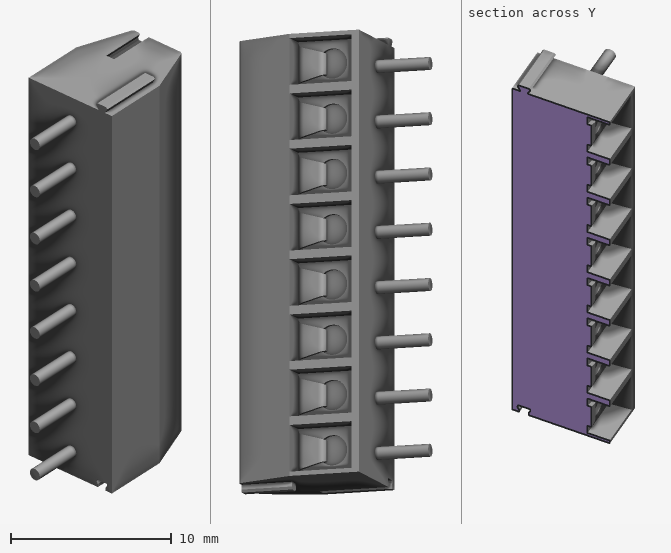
import cadquery as cq

pole_count = 8
housing_width = 6.8
housing_height = 8.4
housing_length = 28.0
pole_pitch = housing_length / pole_count
half_width = housing_width / 2
shoulder_height = 4.58
crown_half_width = 2.0
crown_radius = 0.25

pin_diameter = 0.8
pin_length = 3.5
pin_root = 0.3
pin_offset = 0.1

pocket_length = 2.95
pocket_depth = 1.53
pocket_floor = 0.5
floor_taper = 0.15
ceiling_taper = 0.05
pocket_back = -half_width + pocket_depth
pocket_back_floor = pocket_floor + floor_taper
pocket_back_ceiling = shoulder_height - ceiling_taper

recess_radius = 0.95
recess_height = 2.25
recess_depth = 0.25

leaf_rise = 0.25
leaf_front = pocket_back - leaf_rise
leaf_flat_top = 4.08
leaf_flat_bottom = 3.13
leaf_tip = 2.7
leaf_flare_start = 4.37
leaf_flare_half = 1.42
leaf_shoulder_half = 1.13
leaf_tip_half = 0.67

rail_offset = 2.58
rail_run = shoulder_height
rail_height = 0.45
key_offset = -1.13
key_run = 3.33
key_height = 0.5
groove_depth = 0.55

rail_section = [(0.25, 0), (0.45, 0.35), (0.35, rail_height)]
rail_groove_section = [(0.32, 0), (0.32, 0.23), (0.43, 0.4), (0.4, groove_depth)]
key_section = [(0.32, 0), (0.4, 0.32), (0.32, key_height)]
key_groove_section = [(0.4, 0), (0.32, 0.1), (0.45, 0.38), (0.4, groove_depth)]


def pole_centres():
    return [(i + 0.5) * pole_pitch for i in range(pole_count)]


def housing():
    body = (
        cq.Workplane("XY")
        .polyline([
            (-half_width, 0),
            (half_width, 0),
            (half_width, shoulder_height),
            (crown_half_width, housing_height),
            (-crown_half_width, housing_height),
            (-half_width, shoulder_height),
        ])
        .close()
        .extrude(housing_length)
    )
    return body.edges("|Z").edges(">Y").fillet(crown_radius)


def pin(z):
    """Round pin pointing towards -Y, rooted a short way inside the housing."""
    return (
        cq.Workplane("XZ", origin=(pin_offset, pin_root, z))
        .circle(pin_diameter / 2)
        .extrude(pin_root + pin_length)
    )


def pocket(z):
    """Wire entry narrowing towards its back wall, plus the round recess."""
    entry = (
        cq.Workplane("XY", origin=(0, 0, z))
        .polyline([
            (-half_width, pocket_floor),
            (pocket_back, pocket_back_floor),
            (pocket_back, pocket_back_ceiling),
            (-half_width, shoulder_height),
        ])
        .close()
        .extrude(pocket_length / 2, both=True)
    )
    recess = (
        cq.Workplane("YZ", origin=(pocket_back, recess_height, z))
        .circle(recess_radius)
        .extrude(recess_depth)
    )
    return entry.union(recess)


def tangent_radius(width):
    """Radius of an arc that leaves the leaf's flat front smoothly and meets the wall."""
    return (width**2 + leaf_rise**2) / (2 * leaf_rise)


def leaf(z):
    """Tapered plate, its front rounded back to the wall at both ends."""
    root = pocket_back + recess_depth
    profile = (
        cq.Workplane("XY", origin=(0, 0, z))
        .moveTo(pocket_back, pocket_back_ceiling)
        .radiusArc((leaf_front, leaf_flat_top), -tangent_radius(pocket_back_ceiling - leaf_flat_top))
        .lineTo(leaf_front, leaf_flat_bottom)
        .radiusArc((pocket_back, leaf_tip), -tangent_radius(leaf_flat_bottom - leaf_tip))
        .lineTo(root, leaf_tip)
        .lineTo(root, pocket_back_ceiling)
        .close()
        .extrude(pocket_length / 2, both=True)
    )
    taper = (
        cq.Workplane("YZ", origin=(leaf_front, 0, z))
        .polyline([
            (pocket_back_ceiling, leaf_flare_half),
            (leaf_flare_start, leaf_shoulder_half),
            (leaf_tip, leaf_tip_half),
            (leaf_tip, -leaf_tip_half),
            (leaf_flare_start, -leaf_shoulder_half),
            (pocket_back_ceiling, -leaf_flare_half),
        ])
        .close()
        .extrude(root - leaf_front)
    )
    return profile.intersect(taper)


def end_bar(section, x, base_z, direction, y_start, run):
    """Bar along +Y whose symmetric section grows from base_z along Z (direction 1 or -1)."""
    right = [(x + half, base_z + direction * rise) for half, rise in section]
    left = [(x - half, base_z + direction * rise) for half, rise in reversed(section)]
    return (
        cq.Workplane("XZ", origin=(0, y_start, 0))
        .polyline(right + left)
        .close()
        .extrude(-run)
    )


key_start = housing_height - key_run

result = housing()
for centre in pole_centres():
    result = result.cut(pocket(centre)).union(leaf(centre)).union(pin(centre))

result = (
    result
    .union(end_bar(rail_section, rail_offset, housing_length, 1, 0, rail_run))
    .cut(end_bar(key_groove_section, key_offset, housing_length, -1, key_start, key_run))
    .union(end_bar(key_section, key_offset, 0, -1, key_start, key_run))
    .cut(end_bar(rail_groove_section, rail_offset, 0, 1, 0, rail_run))
)